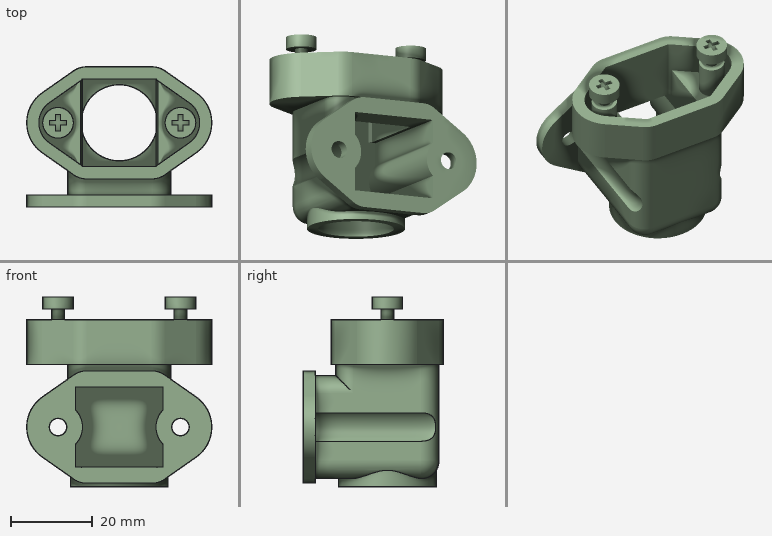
import cadquery as cq
import math

end_centre = 13.7
end_radius = 9.0
outline_half_width = 13.75
flank_angle = 35.0
corner_radius = 5.5

body_half_width = 12.65
body_edge_radius = 4.35
arm_axis_z = 14.63
flange_face_y = -20.65
flange_thickness = 3.0

collar_bottom = 29.95
collar_top = 40.95
collar_wall = 3.0
collar_floor = 32.4
duct_half_width = 9.5

tunnel_half_width = 10.7
tunnel_half_height = 9.8

spigot_radius = 12.0
spigot_bore_radius = 9.3

screw_offset = 15.0
flange_hole_radius = 2.1
channel_radius = 4.2
channel_boss_radius = 6.0
post_radius = 3.1
shank_radius = 1.6
head_radius = 3.75
head_height = 3.0
part_height = 46.5
cross_length = 4.1
cross_width = 1.2
cross_depth = 1.0

flange_back_y = flange_face_y + flange_thickness
arm_length = body_half_width - flange_face_y
tunnel_floor = arm_axis_z - tunnel_half_height
cavity_half_width = outline_half_width - collar_wall
head_bottom = part_height - head_height
screw_sides = (-screw_offset, screw_offset)


def six_sided_prism(height, inset=0.0, corner=0.0):
    """Prism on XY with two rounded ends; its outline is shrunk by inset, corners rounded if asked."""
    angle = math.radians(flank_angle)
    radius = end_radius - inset
    half_width = outline_half_width - inset
    tip_x = end_centre + radius / math.sin(angle)
    corner_x = tip_x - half_width / math.tan(angle)
    points = [
        (tip_x, 0),
        (corner_x, half_width),
        (-corner_x, half_width),
        (-tip_x, 0),
        (-corner_x, -half_width),
        (corner_x, -half_width),
    ]
    prism = cq.Workplane("XY").polyline(points).close().extrude(height)
    prism = prism.edges("|Z and (<X or >X)").fillet(radius)
    if corner > 0:
        prism = prism.edges("|Z and (<Y or >Y)").fillet(corner)
    return prism


def upright_cylinder(radius, bottom, top, x=0.0):
    return cq.Workplane("XY", origin=(x, 0, bottom)).circle(radius).extrude(top - bottom)


def cylinder_along_y(radius, start, end, x):
    """Cylinder at the height of the arm axis, running from y = start to y = end."""
    plane = cq.Workplane("XZ", origin=(x, start, arm_axis_z))
    return plane.circle(radius).extrude(start - end)


def make_elbow():
    """Arm and column with equal rounded square sections; the rounded edges meet in a mitre."""
    width = 2 * body_half_width
    arm = cq.Workplane("XY").box(width, arm_length, width)
    arm = arm.edges("not <Y").fillet(body_edge_radius)
    arm = arm.translate((0, flange_face_y + arm_length / 2, arm_axis_z))
    column = cq.Workplane("XY", origin=(0, 0, arm_axis_z)).rect(width, width)
    column = column.extrude(collar_bottom - arm_axis_z).edges("|Z").fillet(body_edge_radius)
    spigot = upright_cylinder(spigot_radius, 0, tunnel_floor)
    return arm.union(column).union(spigot)


def make_flange():
    flange = six_sided_prism(flange_thickness, corner=corner_radius)
    flange = flange.rotate((0, 0, 0), (1, 0, 0), 90)
    return flange.translate((0, flange_back_y, arm_axis_z))


def make_collar():
    collar = six_sided_prism(collar_top - collar_bottom, corner=corner_radius)
    return collar.translate((0, 0, collar_bottom))


def make_collar_cavity():
    """Full-width recess above the collar floor, narrowed to a duct below it."""
    recess = six_sided_prism(collar_top - collar_floor, inset=collar_wall)
    recess = recess.translate((0, 0, collar_floor))
    duct_height = collar_floor - arm_axis_z
    duct = six_sided_prism(duct_height, inset=collar_wall)
    duct_limits = cq.Workplane("XY").rect(2 * duct_half_width, 2 * outline_half_width).extrude(duct_height)
    duct = duct.intersect(duct_limits).translate((0, 0, arm_axis_z))
    return recess.union(duct)


def make_arm_cavity():
    length = cavity_half_width - flange_face_y
    tunnel = cq.Workplane("XY").box(2 * tunnel_half_width, length, 2 * tunnel_half_height)
    return tunnel.translate((0, flange_face_y + length / 2, arm_axis_z))


def make_screw(x):
    """Post on the collar floor carrying a cross-recessed screw."""
    post = upright_cylinder(post_radius, collar_floor, collar_top, x)
    shank = upright_cylinder(shank_radius, collar_top, head_bottom, x)
    head = upright_cylinder(head_radius, head_bottom, part_height, x)
    recess_plane = cq.Workplane("XY", origin=(x, 0, part_height - cross_depth))
    recess = recess_plane.rect(cross_length, cross_width).extrude(cross_depth)
    recess = recess.union(recess_plane.rect(cross_width, cross_length).extrude(cross_depth))
    return post.union(shank).union(head.cut(recess))


cavities = make_collar_cavity().union(make_arm_cavity())
body = make_elbow()
for side_x in screw_sides:
    cavities = cavities.cut(cylinder_along_y(channel_boss_radius, flange_face_y, body_half_width, side_x))
    body = body.cut(cylinder_along_y(channel_radius, flange_back_y, body_half_width, side_x))

body = body.union(make_flange()).union(make_collar())
body = body.cut(cavities)
body = body.cut(upright_cylinder(spigot_bore_radius, 0, tunnel_floor))

for side_x in screw_sides:
    body = body.cut(cylinder_along_y(flange_hole_radius, flange_face_y, flange_back_y, side_x))
    body = body.union(make_screw(side_x))

result = body